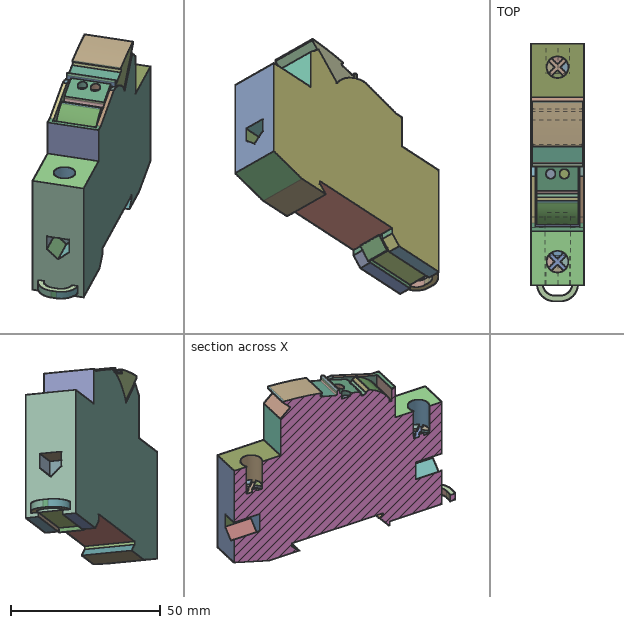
import cadquery as cq


WIDTH = 17.8
DEPTH = 80.9
SHOULDER_Z = 42.9
TOWER_FRONT_Y = 18.1
TOWER_REAR_Y = 62.9
TOWER_FRONT_Z = 55.1
TOWER_REAR_Z = 57.6
SLOPE_FRONT = (20.9, TOWER_FRONT_Z)
PEAK = (36.5, 59.8)

RAIL_Z = 5.72
RAIL_FRONT_Y = 22.9
RAIL_REAR_Y = 58.3
FOOT_CHAMFER_Y = 19.5
FOOT_CHAMFER_Z = 3.5
HOOK_Z = 1.8
HOOK_TIP_Y = 55.4
HOOK_REAR_Y = 67.2
HOOK_ROOT_Z = 4.65

NOTCH_VERTEX = (49.9, 51.75)
NOTCH_REAR_Y = 59.1
NOTCH_ARC_MID = (43.85, 57.5)
LEVER_WIDTH = 16.9
LEVER_TOP_Z = 64.21
LEVER_TIP_Y = 61.6
LEVER_TIP_RADIUS = 0.35
LEVER_TOP_MID = (54.1, 63.65)
LEVER_TOP_END = (46.75, 62.6)
GRIP_RADIUS = 0.25
GRIP_STEP = 0.45
GRIP_ARC_MID = (47.0, 61.2)
GRIP_FLOOR = (46.3, 60.98)
RIB_FRONT_Y = 39.65
RIB_WIDTH = 1.2
RIB_TOP_Z = 61.4
RIB_CORNER = 0.45
RIB_FILLET = 0.4
RIB_BASE_Z = 59.7

POCKET_WIDTH = 14.9
POCKET_FRONT_Y = 19.65
POCKET_FLOOR_Z = 50.0
BLOCK_WIDTH = 13.8
PLATE_REAR_Z = 60.1
PLATE_FRONT = (31.65, 57.7)
GROOVE_WALL = 0.7
GROOVE_RADIUS = 1.0
LIP_REAR = (29.55, 56.7)
LIP_ARC_MID = (29.0, 57.25)
LIP_TOP = (28.25, 57.5)
ROLLER_TOP = (27.7, 57.3)
ROLLER_ARC_MID = (23.6, 54.92)
ROLLER_FRONT = (20.3, 51.1)
LED_DIAMETER = 3.2
LED_PITCH = 4.55
LED_Y = 37.3
LED_FLOOR_Z = 57.5

SCREW_DIAMETER = 7.25
SCREW_INSET = 7.9
SCREW_DEPTH = 10.0
CROSS_WIDTH = 1.4
CROSS_DEPTH = 1.0
ENTRY_WIDTH = 7.7
ENTRY_TOP_Z = 21.9
ENTRY_SHOULDER_Z = 16.9
ENTRY_TIP_Z = 13.5
ENTRY_DEPTH = 10.0

CLIP_WIDTH = 8.65
PULL_RADIUS = 6.0
PULL_THICKNESS = 2.0
PULL_FLAT = 1.85
PULL_REACH = 5.4
PULL_BOTTOM_Z = 1.5
PULL_HEIGHT = 2.7
PULL_ROOT = 1.0
CLIP_NOSE = (24.5, 4.4)
CLIP_TOP = (23.0, 5.0)
CLIP_TOE_Y = 20.65
CLIP_HEEL_Y = 20.25


def side_sketch(width):
    """Workplane for a Y-Z outline that is extruded over `width`, centred on X."""
    return cq.Workplane("YZ", origin=(-width / 2, 0, 0))


def make_housing():
    notch_rear_z = NOTCH_VERTEX[1] + NOTCH_REAR_Y - NOTCH_VERTEX[0]
    return (
        side_sketch(WIDTH)
        .moveTo(0, 0)
        .lineTo(0, SHOULDER_Z)
        .lineTo(TOWER_FRONT_Y, SHOULDER_Z)
        .lineTo(TOWER_FRONT_Y, TOWER_FRONT_Z)
        .lineTo(*SLOPE_FRONT)
        .lineTo(*PEAK)
        .threePointArc(NOTCH_ARC_MID, NOTCH_VERTEX)
        .lineTo(NOTCH_REAR_Y, notch_rear_z)
        .lineTo(TOWER_REAR_Y, TOWER_REAR_Z)
        .lineTo(TOWER_REAR_Y, SHOULDER_Z)
        .lineTo(DEPTH, SHOULDER_Z)
        .lineTo(DEPTH, RAIL_Z)
        .lineTo(HOOK_REAR_Y, HOOK_Z)
        .lineTo(HOOK_TIP_Y, HOOK_Z)
        .lineTo(RAIL_REAR_Y, HOOK_ROOT_Z)
        .lineTo(RAIL_REAR_Y, RAIL_Z)
        .lineTo(RAIL_FRONT_Y, RAIL_Z)
        .lineTo(RAIL_FRONT_Y, FOOT_CHAMFER_Z)
        .lineTo(FOOT_CHAMFER_Y, 0)
        .close()
        .extrude(WIDTH)
    )


def make_lever():
    """Lever that fills the notch; its front end carries a rounded finger rib."""
    tip_bottom_z = NOTCH_VERTEX[1] + LEVER_TIP_Y - NOTCH_VERTEX[0]
    tip_top = (LEVER_TIP_Y - LEVER_TIP_RADIUS, LEVER_TOP_Z)
    lip_front = (LEVER_TOP_END[0] - GRIP_RADIUS, LEVER_TOP_END[1] - GRIP_RADIUS)
    lip_bottom = (LEVER_TOP_END[0], LEVER_TOP_END[1] - 2 * GRIP_RADIUS)
    rib_shoulder_z = RIB_TOP_Z - RIB_CORNER
    rib_rear_y = RIB_FRONT_Y + RIB_WIDTH
    return (
        side_sketch(LEVER_WIDTH)
        .moveTo(*NOTCH_VERTEX)
        .lineTo(LEVER_TIP_Y, tip_bottom_z)
        .lineTo(LEVER_TIP_Y, LEVER_TOP_Z - LEVER_TIP_RADIUS)
        .radiusArc(tip_top, -LEVER_TIP_RADIUS)
        .threePointArc(LEVER_TOP_MID, LEVER_TOP_END)
        .threePointArc(lip_front, lip_bottom)
        .lineTo(LEVER_TOP_END[0] + GRIP_STEP, lip_bottom[1] - GRIP_STEP)
        .threePointArc(GRIP_ARC_MID, GRIP_FLOOR)
        .lineTo(rib_rear_y + RIB_FILLET, RIB_BASE_Z)
        .radiusArc((rib_rear_y, RIB_BASE_Z + RIB_FILLET), RIB_FILLET)
        .lineTo(rib_rear_y, rib_shoulder_z)
        .radiusArc((rib_rear_y - RIB_CORNER, RIB_TOP_Z), -RIB_CORNER)
        .lineTo(RIB_FRONT_Y + RIB_CORNER, RIB_TOP_Z)
        .radiusArc((RIB_FRONT_Y, rib_shoulder_z), -RIB_CORNER)
        .lineTo(RIB_FRONT_Y, NOTCH_VERTEX[1])
        .close()
        .extrude(LEVER_WIDTH)
    )


def make_pocket():
    """Open pocket in the sloping top, in front of the lever."""
    return (
        cq.Workplane("XY", origin=(0, 0, POCKET_FLOOR_Z))
        .moveTo(0, (POCKET_FRONT_Y + RIB_FRONT_Y) / 2)
        .rect(POCKET_WIDTH, RIB_FRONT_Y - POCKET_FRONT_Y)
        .extrude(LEVER_TOP_Z - POCKET_FLOOR_Z)
    )


def make_indicator_block():
    """Sloping plate, groove and rounded roller standing in the pocket."""
    plate_y, plate_z = PLATE_FRONT
    wall_bottom_z = plate_z - GROOVE_WALL
    groove_bottom = (plate_y - GROOVE_RADIUS, wall_bottom_z - GROOVE_RADIUS)
    block = (
        side_sketch(BLOCK_WIDTH)
        .moveTo(RIB_FRONT_Y, POCKET_FLOOR_Z)
        .lineTo(RIB_FRONT_Y, PLATE_REAR_Z)
        .lineTo(plate_y, plate_z)
        .lineTo(plate_y, wall_bottom_z)
        .radiusArc(groove_bottom, GROOVE_RADIUS)
        .lineTo(*LIP_REAR)
        .threePointArc(LIP_ARC_MID, LIP_TOP)
        .lineTo(*ROLLER_TOP)
        .threePointArc(ROLLER_ARC_MID, ROLLER_FRONT)
        .lineTo(ROLLER_FRONT[0], POCKET_FLOOR_Z)
        .close()
        .extrude(BLOCK_WIDTH)
    )
    leds = (
        cq.Workplane("XY", origin=(0, LED_Y, LED_FLOOR_Z))
        .pushPoints([(-LED_PITCH / 2, 0), (LED_PITCH / 2, 0)])
        .circle(LED_DIAMETER / 2)
        .extrude(LEVER_TOP_Z - LED_FLOOR_Z)
    )
    return block.cut(leds)


def make_screw_hole(y):
    """Screw well with a cross recess, turned 45 degrees, in its floor."""
    floor_z = SHOULDER_Z - SCREW_DEPTH
    well = cq.Workplane("XY", origin=(0, y, floor_z)).circle(SCREW_DIAMETER / 2).extrude(SCREW_DEPTH)
    cross_plane = cq.Workplane("XY", origin=(0, y, floor_z - CROSS_DEPTH))
    rim = cross_plane.circle(SCREW_DIAMETER / 2).extrude(CROSS_DEPTH)
    for angle in (45, -45):
        arm = cross_plane.transformed(rotate=(0, 0, angle)).rect(SCREW_DIAMETER, CROSS_WIDTH)
        well = well.union(arm.extrude(CROSS_DEPTH).intersect(rim))
    return well


def make_wire_entry(start_y):
    """Five-sided wire opening reaching ENTRY_DEPTH in the +Y direction from start_y."""
    half = ENTRY_WIDTH / 2
    return (
        cq.Workplane("XZ", origin=(0, start_y, 0))
        .moveTo(-half, ENTRY_TOP_Z)
        .lineTo(half, ENTRY_TOP_Z)
        .lineTo(half, ENTRY_SHOULDER_Z)
        .lineTo(0, ENTRY_TIP_Z)
        .lineTo(-half, ENTRY_SHOULDER_Z)
        .close()
        .extrude(-ENTRY_DEPTH)
    )


def make_clip_slot():
    """Channel in the base, from the front face to the rail seat."""
    return (
        cq.Workplane("XY")
        .moveTo(0, RAIL_FRONT_Y / 2)
        .rect(CLIP_WIDTH, RAIL_FRONT_Y)
        .extrude(PULL_BOTTOM_Z)
    )


def make_clip_nose():
    """Sloping latch that reaches under the rail."""
    return (
        side_sketch(CLIP_WIDTH)
        .moveTo(*CLIP_NOSE)
        .lineTo(*CLIP_TOP)
        .lineTo(CLIP_HEEL_Y, CLIP_TOP[1])
        .lineTo(CLIP_HEEL_Y, 0)
        .lineTo(CLIP_TOE_Y, 0)
        .close()
        .extrude(CLIP_WIDTH)
    )


def make_pull_loop():
    """Half loop on the front face for pulling the rail clip."""
    centre_y = PULL_RADIUS - PULL_REACH
    plane = cq.Workplane("XY", origin=(0, centre_y, PULL_BOTTOM_Z))
    inner_radius = PULL_RADIUS - PULL_THICKNESS
    outer = plane.slot2D(PULL_FLAT + 2 * PULL_RADIUS, 2 * PULL_RADIUS).extrude(PULL_HEIGHT)
    inner = plane.slot2D(PULL_FLAT + 2 * inner_radius, 2 * inner_radius).extrude(PULL_HEIGHT)
    keep_length = PULL_REACH + PULL_ROOT
    keep = (
        cq.Workplane("XY", origin=(0, PULL_ROOT - keep_length / 2, PULL_BOTTOM_Z))
        .rect(WIDTH, keep_length)
        .extrude(PULL_HEIGHT)
    )
    return outer.cut(inner).intersect(keep)


result = make_housing().union(make_lever())
result = result.cut(make_pocket()).union(make_indicator_block())
for screw_y in (SCREW_INSET, DEPTH - SCREW_INSET):
    result = result.cut(make_screw_hole(screw_y))
for entry_y in (0, DEPTH - ENTRY_DEPTH):
    result = result.cut(make_wire_entry(entry_y))
result = result.cut(make_clip_slot()).union(make_clip_nose()).union(make_pull_loop())